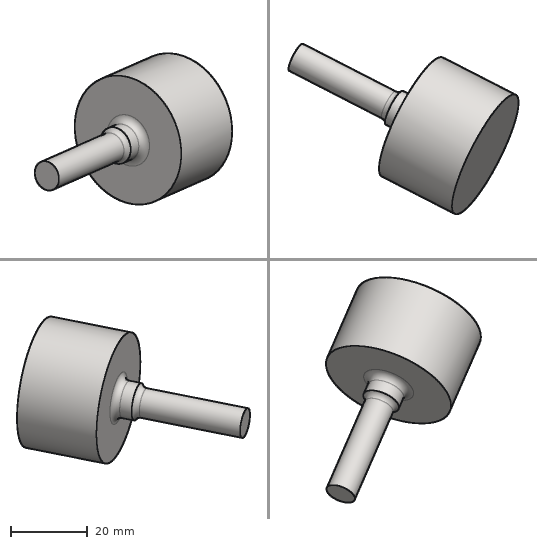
import cadquery as cq
import math

total_length = 57.0
head_diameter = 35.0
head_length = 22.0
collar_diameter = 10.0
collar_length = 5.35
shank_diameter = 8.0
fillet_radius = 2.0

head_radius = head_diameter / 2
collar_radius = collar_diameter / 2
shank_radius = shank_diameter / 2

head_face_y = total_length - head_length
collar_end_y = head_face_y - collar_length

collar_step = collar_radius - shank_radius
neck_length = math.sqrt(fillet_radius**2 - (fillet_radius - collar_step) ** 2)
neck_start_y = collar_end_y - neck_length


def make_profile():
    """Half section in the XY plane, from the shank tip to the back of the head."""
    return (
        cq.Workplane("XY")
        .lineTo(shank_radius, 0)
        .lineTo(shank_radius, neck_start_y)
        .radiusArc((collar_radius, collar_end_y), fillet_radius)
        .lineTo(collar_radius, head_face_y - fillet_radius)
        .radiusArc((collar_radius + fillet_radius, head_face_y), fillet_radius)
        .lineTo(head_radius, head_face_y)
        .lineTo(head_radius, total_length)
        .lineTo(0, total_length)
        .close()
    )


result = make_profile().revolve(360, (0, 0, 0), (0, 1, 0))